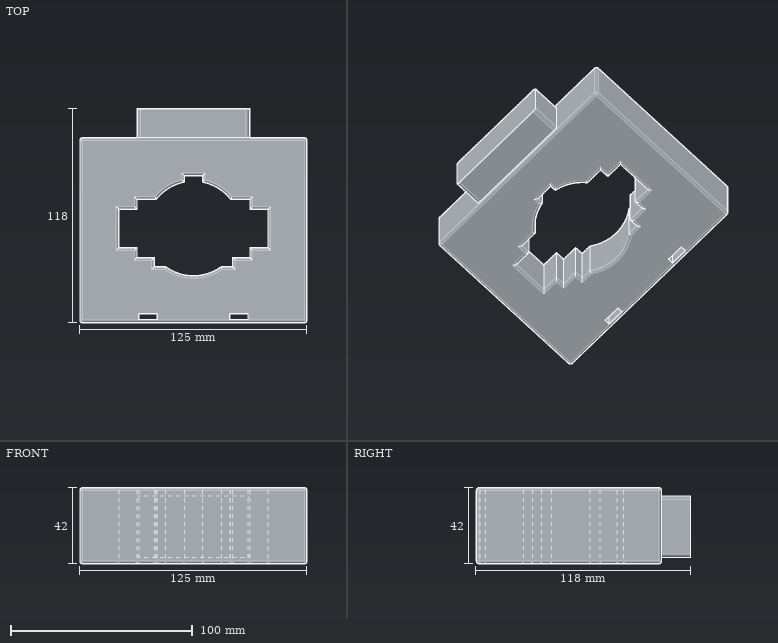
import cadquery as cq
import math

WIDTH = 125.0
DEPTH = 102.0
HEIGHT = 42.0
EDGE_RADIUS = 1.5

TERMINAL_WIDTH = 62.0
TERMINAL_LENGTH = 16.0
TERMINAL_BOTTOM = 3.5
TERMINAL_HEIGHT = 34.0
TERMINAL_RADIUS = 2.0

OPENING_Y = 52.0
CABLE_RADIUS = 26.0
WIDE_BAR_HALF_WIDTH = 41.0
WIDE_BAR_HALF_HEIGHT = 10.5
MEDIUM_BAR_HALF_WIDTH = 31.0
MEDIUM_BAR_HALF_HEIGHT = 16.0
LOWER_BAR_HALF_WIDTH = 21.5
LOWER_BAR_DROP = 21.0
NOTCH_HALF_WIDTH = 5.0
NOTCH_RISE = 29.0

SLOT_SPACING = 50.0
SLOT_WIDTH = 10.0
SLOT_DEPTH = 3.0
SLOT_FRONT = 2.0


def make_housing():
    block = cq.Workplane("XY").box(WIDTH, DEPTH, HEIGHT, centered=(True, False, False))
    return block.edges().fillet(EDGE_RADIUS)


def make_terminal_block():
    """Block rounded along its length, rooted inside the housing behind the rounded edges."""
    root = EDGE_RADIUS
    block = cq.Workplane("XY").box(
        TERMINAL_WIDTH, TERMINAL_LENGTH + root, TERMINAL_HEIGHT, centered=(True, False, False)
    )
    return block.edges("|Y").fillet(TERMINAL_RADIUS).translate((0, DEPTH - root, TERMINAL_BOTTOM))


def circle_reach(offset):
    """Distance from the centre line to the cable circle at a given offset along the other axis."""
    return math.sqrt(CABLE_RADIUS**2 - offset**2)


def make_opening():
    """Stepped outline, symmetric about X = 0, extruded through the housing."""
    notch_foot = circle_reach(NOTCH_HALF_WIDTH)
    upper_arc_end = circle_reach(MEDIUM_BAR_HALF_HEIGHT)
    lower_arc_end = circle_reach(LOWER_BAR_DROP)
    mid_angle = (
        math.atan2(notch_foot, NOTCH_HALF_WIDTH) + math.atan2(MEDIUM_BAR_HALF_HEIGHT, upper_arc_end)
    ) / 2
    arc_mid_x = CABLE_RADIUS * math.cos(mid_angle)
    arc_mid_y = CABLE_RADIUS * math.sin(mid_angle)

    steps_down_right = [
        (MEDIUM_BAR_HALF_WIDTH, MEDIUM_BAR_HALF_HEIGHT),
        (MEDIUM_BAR_HALF_WIDTH, WIDE_BAR_HALF_HEIGHT),
        (WIDE_BAR_HALF_WIDTH, WIDE_BAR_HALF_HEIGHT),
        (WIDE_BAR_HALF_WIDTH, -WIDE_BAR_HALF_HEIGHT),
        (MEDIUM_BAR_HALF_WIDTH, -WIDE_BAR_HALF_HEIGHT),
        (MEDIUM_BAR_HALF_WIDTH, -MEDIUM_BAR_HALF_HEIGHT),
        (LOWER_BAR_HALF_WIDTH, -MEDIUM_BAR_HALF_HEIGHT),
        (LOWER_BAR_HALF_WIDTH, -LOWER_BAR_DROP),
        (lower_arc_end, -LOWER_BAR_DROP),
    ]
    steps_up_left = [(-x, y) for x, y in reversed(steps_down_right)]

    outline = (
        cq.Workplane("XY")
        .center(0, OPENING_Y)
        .moveTo(-NOTCH_HALF_WIDTH, notch_foot)
        .lineTo(-NOTCH_HALF_WIDTH, NOTCH_RISE)
        .lineTo(NOTCH_HALF_WIDTH, NOTCH_RISE)
        .lineTo(NOTCH_HALF_WIDTH, notch_foot)
        .threePointArc((arc_mid_x, arc_mid_y), (upper_arc_end, MEDIUM_BAR_HALF_HEIGHT))
    )
    for x, y in steps_down_right:
        outline = outline.lineTo(x, y)
    outline = outline.threePointArc((0, -CABLE_RADIUS), steps_up_left[0])
    for x, y in steps_up_left[1:]:
        outline = outline.lineTo(x, y)
    outline = outline.lineTo(-upper_arc_end, MEDIUM_BAR_HALF_HEIGHT)
    outline = outline.threePointArc((-arc_mid_x, arc_mid_y), (-NOTCH_HALF_WIDTH, notch_foot))
    return outline.close().extrude(HEIGHT)


def round_opening_rims(body):
    """Round the opening where it meets the top and bottom faces."""
    rims = []
    for side in (">Z", "<Z"):
        rims += body.faces(side).val().innerWires()[0].Edges()
    return body.newObject(rims).fillet(EDGE_RADIUS)


def make_slots():
    return (
        cq.Workplane("XY")
        .pushPoints([(side * SLOT_SPACING / 2, SLOT_FRONT + SLOT_DEPTH / 2) for side in (-1, 1)])
        .rect(SLOT_WIDTH, SLOT_DEPTH)
        .extrude(HEIGHT)
    )


housing = round_opening_rims(make_housing().cut(make_opening()))
result = housing.union(make_terminal_block()).cut(make_slots())